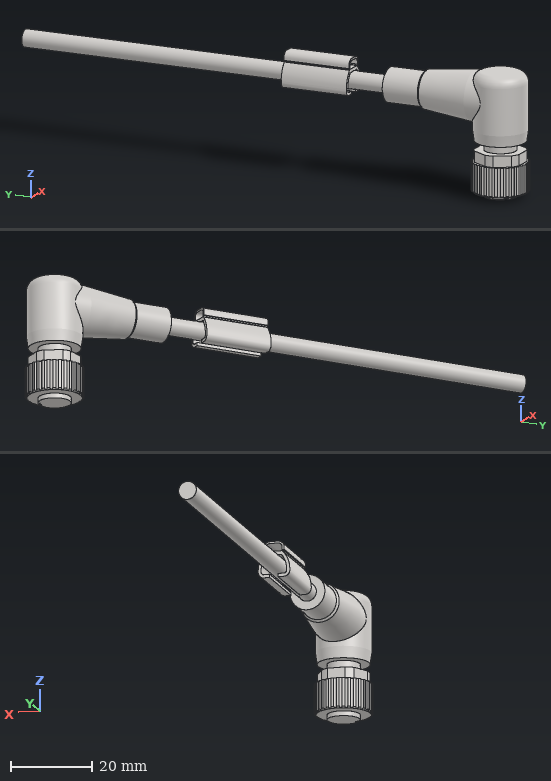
import cadquery as cq
import math

total_length = 137.3
total_height = 32.0

nut_radius = 7.3
nut_bottom = 1.2
nut_top = 8.9
nut_chamfer = 0.4
knurl_count = 32
groove_radius = 0.35
collar_top = 11.8
collar_radius = 6.6
collar_sides = 6
collar_across_flats = 12.4

stem_radius = 4.1
keyway_width = 1.1
keyway_depth = 0.5
keyway_angle = 225

head_radius = 7.0
head_base_radius = 6.6
head_bottom = 14.1
head_taper_top = 17.0
head_fillet = 2.9

cable_axis_z = 24.9
cable_radius = 2.3
cable_end = total_length - nut_radius
arm_radius = 6.6
arm_straight_end = 6.9
cone_end = 20.0
cone_end_radius = 5.1
relief_shoulder = 0.5
relief_radius = 4.5
relief_end = 30.2

clip_start = 40.2
clip_end = 58.1
clip_wall = 0.8
clip_half_width = 4.1
clip_side_radius = 6.6
clip_side_low = -1.5
clip_straight = 0.4
clip_bottom = -3.5
clip_top = 3.2
clip_ceiling = 2.2
clip_mouth = 2.2
rail_bottom = 3.5
rail_top = 5.8
rail_width = 5.4
rail_fillet = 1.6
rail_wall = 0.5
rail_neck_width = 4.7


def cylinder(radius, bottom, top):
    """Vertical cylinder on the head axis."""
    return cq.Workplane("XY").workplane(offset=bottom).circle(radius).extrude(top - bottom)


def cable_section(start):
    """Plane across the cable, with local x along -X, local y along Z and its normal along +Y."""
    return cq.Workplane(cq.Plane((0, start, cable_axis_z), (-1, 0, 0), (0, 1, 0)))


def make_nut():
    grip = cylinder(nut_radius, nut_bottom, nut_top).faces("<Z").chamfer(nut_chamfer)
    grooves = (
        cq.Workplane("XY")
        .workplane(offset=nut_bottom)
        .polarArray(nut_radius, 0, 360, knurl_count)
        .circle(groove_radius)
        .extrude(nut_top - nut_bottom)
    )
    hexagon = (
        cq.Workplane("XY")
        .workplane(offset=nut_top)
        .polygon(collar_sides, collar_across_flats / math.cos(math.pi / collar_sides))
        .extrude(collar_top - nut_top)
    )
    collar = hexagon.intersect(cylinder(collar_radius, nut_top, collar_top))
    return grip.cut(grooves).union(collar)


def make_stem():
    """Stem with a coding keyway in the rim that shows below the nut."""
    keyway = (
        cq.Workplane("XY")
        .transformed(rotate=(0, 0, keyway_angle))
        .center(stem_radius, 0)
        .rect(2 * keyway_depth, keyway_width)
        .extrude(nut_bottom)
    )
    return cylinder(stem_radius, 0, head_bottom).cut(keyway)


def make_head():
    profile = (
        cq.Workplane("XZ")
        .moveTo(0, head_bottom)
        .lineTo(head_base_radius, head_bottom)
        .lineTo(head_radius, head_taper_top)
        .lineTo(head_radius, total_height - head_fillet)
        .radiusArc((head_radius - head_fillet, total_height), -head_fillet)
        .lineTo(0, total_height)
        .close()
    )
    return profile.revolve(360, (0, 0, 0), (0, 1, 0))


def make_arm_and_cable():
    profile = (
        cq.Workplane("XY")
        .workplane(offset=cable_axis_z)
        .lineTo(arm_radius, 0)
        .lineTo(arm_radius, arm_straight_end)
        .lineTo(cone_end_radius, cone_end)
        .lineTo(relief_radius, cone_end + relief_shoulder)
        .lineTo(relief_radius, relief_end)
        .lineTo(cable_radius, relief_end)
        .lineTo(cable_radius, cable_end)
        .lineTo(0, cable_end)
        .close()
    )
    return profile.revolve(360, (0, 0, 0), (0, 1, 0))


def cradle_prism(inset, top, bottom):
    """Clip body outline moved inwards by inset and closed off at top and bottom."""
    half_width = clip_half_width - inset
    side_radius = clip_side_radius - inset
    arc_center_x = half_width - side_radius
    straight_end = clip_side_low - clip_straight
    corner = straight_end - bottom

    def on_side(z):
        """Point at height z on the bulging side."""
        return arc_center_x + math.sqrt(side_radius**2 - (z - clip_side_low) ** 2), z

    half = (
        cable_section(clip_start)
        .moveTo(0, top)
        .lineTo(*on_side(top))
        .threePointArc(on_side((top + clip_side_low) / 2), (half_width, clip_side_low))
        .lineTo(half_width, straight_end)
        .radiusArc((half_width - corner, bottom), corner)
        .lineTo(0, bottom)
        .close()
        .extrude(clip_end - clip_start)
    )
    return half.union(half.mirror("YZ"))


def clip_bar(half_width, bottom, top):
    """Rectangular bar along the whole clip, centred above or below the cable axis."""
    section = cable_section(clip_start).center(0, (bottom + top) / 2)
    return section.rect(2 * half_width, top - bottom).extrude(clip_end - clip_start)


def make_clip():
    body = cradle_prism(0, clip_top, clip_bottom)
    cavity = cradle_prism(clip_wall, clip_ceiling, clip_bottom + clip_wall)
    mouth = clip_bar(clip_mouth / 2, clip_bottom, clip_bottom + clip_wall)
    neck = clip_bar(rail_neck_width / 2, clip_ceiling, rail_bottom + rail_wall)
    rail = clip_bar(rail_width / 2, rail_bottom, rail_top).edges("|Y and >Z").fillet(rail_fillet)
    hollow = clip_bar(rail_width / 2 - rail_wall, clip_top, rail_top - rail_wall)
    hollow = hollow.edges("|Y and >Z").fillet(rail_fillet - rail_wall)
    return body.union(neck).union(rail).cut(hollow).cut(cavity).cut(mouth)


result = make_nut().union(make_stem()).union(make_head()).union(make_arm_and_cable()).union(make_clip())